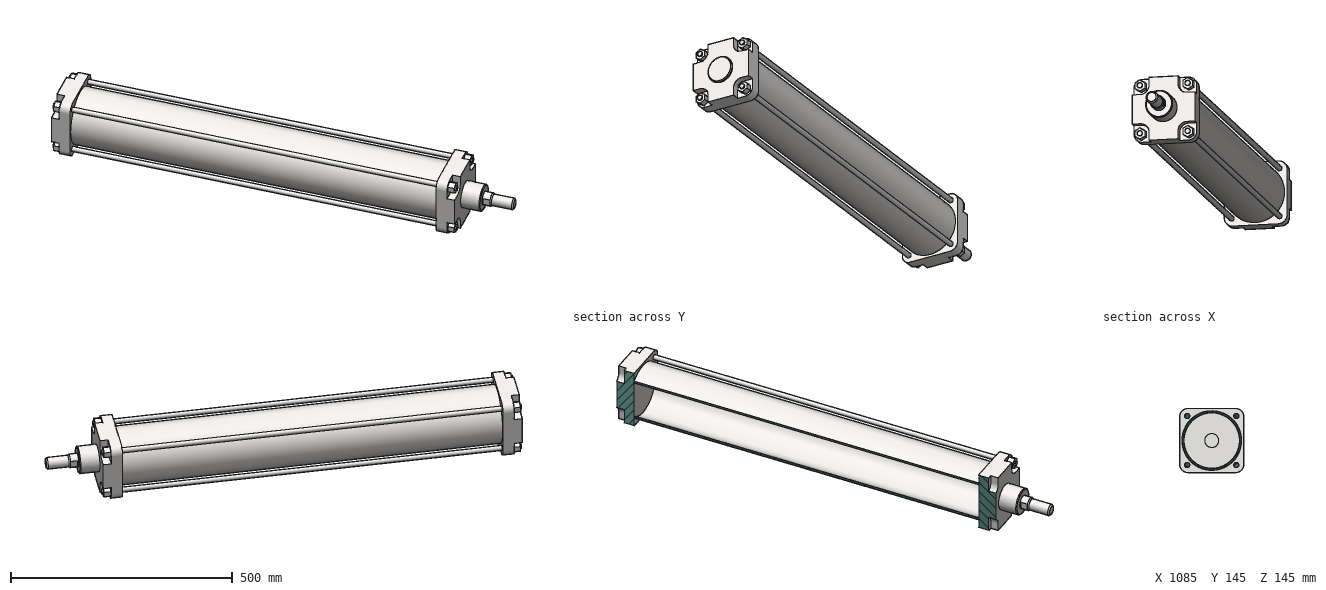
import cadquery as cq
import math

overall_length = 1085.0
rear_boss_height = 5.0
head_thickness = 45.0
barrel_length = 872.0
front_boss_length = 46.0

head_side = 145.0
tie_rod_offset = 55.0
corner_radius = 20.0
pocket_side = 39.0
pocket_fillet_radius = 21.0
pocket_depth = 18.0
boss_diameter = 63.0
boss_chamfer = 2.0

barrel_outer_diameter = 135.0
bore_diameter = 125.0

rod_diameter = 31.0
flat_width = 27.0
flat_length = 16.0
thread_diameter = 27.0
thread_chamfer = 3.0
tip_length = 54.0
shoulder_cone_length = 3.0

tie_rod_diameter = 12.0
nut_across_flats = 23.0
nut_thickness = 15.0

rear_end = -overall_length / 2
rear_head_start = rear_end + rear_boss_height
rear_head_end = rear_head_start + head_thickness
front_head_start = rear_head_end + barrel_length
front_head_end = front_head_start + head_thickness
front_boss_end = front_head_end + front_boss_length
rod_end = overall_length / 2
shoulder = rod_end - tip_length
rear_pocket_floor = rear_head_start + pocket_depth
front_pocket_floor = front_head_end - pocket_depth

corner_signs = [(1, 1), (-1, 1), (-1, -1), (1, -1)]
tie_rod_points = [(y_sign * tie_rod_offset, z_sign * tie_rod_offset) for y_sign, z_sign in corner_signs]


def section_plane(x):
    """Workplane across the cylinder axis at station x, facing +X."""
    return cq.Workplane("YZ", origin=(x, 0, 0))


def cylinder(diameter, start, end):
    """Round bar on the cylinder axis between two stations."""
    return section_plane(start).circle(diameter / 2).extrude(end - start)


def corner_pockets(start, end):
    """Four corner recesses, each with a rounded inner corner."""
    centre = head_side / 2
    return (
        section_plane(start)
        .pushPoints([(y_sign * centre, z_sign * centre) for y_sign, z_sign in corner_signs])
        .rect(2 * pocket_side, 2 * pocket_side)
        .extrude(end - start)
        .edges("|X")
        .fillet(pocket_fillet_radius)
    )


def head_block(start):
    """Square end plate with rounded corners and four tie rod holes."""
    block = section_plane(start).rect(head_side, head_side).extrude(head_thickness)
    block = block.edges("|X").fillet(corner_radius)
    hole_centres = section_plane(start).pushPoints(tie_rod_points)
    holes = hole_centres.circle(tie_rod_diameter / 2).extrude(head_thickness)
    return block.cut(holes)


def make_rear_head():
    """Closed head with a shallow chamfered boss on its outer face."""
    boss = cylinder(boss_diameter, rear_end, rear_head_start).faces("<X").chamfer(boss_chamfer)
    return head_block(rear_head_start).cut(corner_pockets(rear_head_start, rear_pocket_floor)).union(boss)


def make_front_head():
    """Head with a long boss, bored through for the piston rod."""
    boss = cylinder(boss_diameter, front_head_end, front_boss_end).faces(">X").chamfer(boss_chamfer)
    rod_bore = cylinder(rod_diameter, front_head_start, front_boss_end)
    return (
        head_block(front_head_start)
        .cut(corner_pockets(front_pocket_floor, front_head_end))
        .union(boss)
        .cut(rod_bore)
    )


def make_barrel():
    """Plain tube held between the heads."""
    outside = cylinder(barrel_outer_diameter, rear_head_end, front_head_start)
    bore = cylinder(bore_diameter, rear_head_end, front_head_start)
    return outside.cut(bore)


def make_piston_rod():
    """Rod with two wrench flats facing -Y and +Y, a tapered shoulder and a thread-sized tip."""
    clearance = 2 * rod_diameter
    body = cylinder(rod_diameter, front_head_start, shoulder)
    flats = (
        section_plane(shoulder - flat_length)
        .rect(clearance, clearance)
        .rect(flat_width, clearance)
        .extrude(flat_length)
    )
    cone = (
        section_plane(shoulder)
        .circle(rod_diameter / 2)
        .workplane(offset=shoulder_cone_length)
        .circle(thread_diameter / 2)
        .loft()
    )
    thread = cylinder(thread_diameter, shoulder, rod_end).faces(">X").chamfer(thread_chamfer)
    return body.cut(flats).union(cone).union(thread)


def make_tie_rod(y, z):
    """Tie rod with a hexagonal nut, corners up and down, in the pocket at each end."""
    across_corners = nut_across_flats / math.cos(math.pi / 6)

    def nut(start):
        upright = section_plane(start).transformed(rotate=(0, 0, 90))
        return upright.polygon(6, across_corners).extrude(nut_thickness)

    rod = cylinder(tie_rod_diameter, rear_head_start, front_head_end)
    rod = rod.union(nut(rear_pocket_floor - nut_thickness)).union(nut(front_pocket_floor))
    return rod.translate((0, y, z))


rear_head = make_rear_head()
front_head = make_front_head()
barrel = make_barrel()
piston_rod = make_piston_rod()
tie_rods = [make_tie_rod(y, z) for y, z in tie_rod_points]

result = cq.Compound.makeCompound(
    [rear_head.val(), front_head.val(), barrel.val(), piston_rod.val(), *[rod.val() for rod in tie_rods]]
)